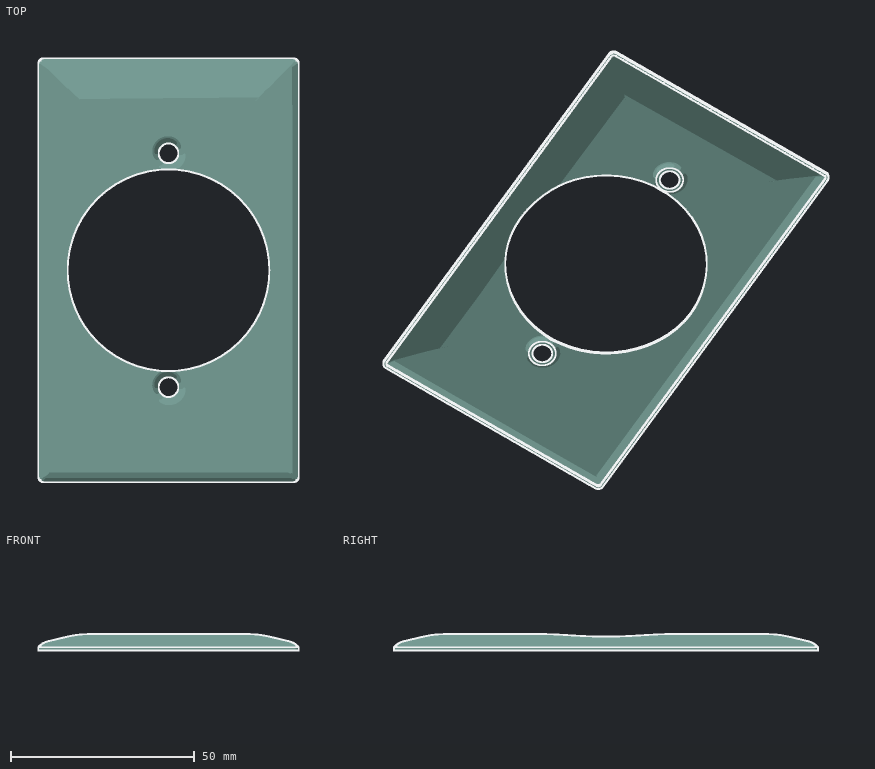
import cadquery as cq
import math

width = 70.87
length = 115.32
height = 4.51
thickness = 0.8
rim_height = 0.9
corner_radius = 1.5

edge_band = 2.7
crown_start = 8.0
border_width = 14.0
slope_angle = math.radians(13.25)

opening_diameter = 54.8
screw_spacing = 63.6
screw_diameter = 5.3
dimple_diameter = 10.2
dimple_lip_radius = 1.8
dimple_wall_angle = math.radians(52)

full_turn = 360
match_tolerance = 1e-4


def border_point(radius, centre, angle):
    """Point on an arc whose tangent there has the given slope angle."""
    return (centre[0] - radius * math.sin(angle), centre[1] + radius * math.cos(angle))


def crowned_prism(plane, span, depth, skin):
    """Prism with the crowned section, its surface set inward by the skin thickness."""
    half = span / 2
    crown_radius = (border_width - crown_start) / math.sin(slope_angle)
    crown_centre = (border_width, height - crown_radius)
    crown_drop = crown_radius * (1 - math.cos(slope_angle))
    slope_drop = (crown_start - edge_band) * math.tan(slope_angle)
    slope_foot_z = height - crown_drop - slope_drop

    rise = slope_foot_z - rim_height
    chord_angle = math.atan2(rise, edge_band)
    edge_turn = 2 * (chord_angle - slope_angle)
    edge_radius = math.hypot(rise, edge_band) / (2 * math.sin(edge_turn / 2))
    edge_centre = (
        edge_band + edge_radius * math.sin(slope_angle),
        slope_foot_z - edge_radius * math.cos(slope_angle),
    )

    inner_edge_radius = edge_radius - skin
    inner_crown_radius = crown_radius - skin
    rim_angle = math.asin((edge_centre[0] - skin) / inner_edge_radius)
    edge_middle_angle = (rim_angle + slope_angle) / 2

    side = [
        border_point(inner_edge_radius, edge_centre, rim_angle),
        border_point(inner_edge_radius, edge_centre, edge_middle_angle),
        border_point(inner_edge_radius, edge_centre, slope_angle),
        border_point(inner_crown_radius, crown_centre, slope_angle),
        border_point(inner_crown_radius, crown_centre, slope_angle / 2),
        border_point(inner_crown_radius, crown_centre, 0),
    ]
    left = [(inset - half, z) for inset, z in side]
    right = [(half - inset, z) for inset, z in reversed(side)]
    return (
        cq.Workplane(plane)
        .moveTo(skin - half, 0)
        .lineTo(*left[0])
        .threePointArc(left[1], left[2])
        .lineTo(*left[3])
        .threePointArc(left[4], left[5])
        .lineTo(*right[0])
        .threePointArc(right[1], right[2])
        .lineTo(*right[3])
        .threePointArc(right[4], right[5])
        .lineTo(half - skin, 0)
        .close()
        .extrude(depth / 2, both=True)
    )


def is_mitre(edge):
    """True for an edge that stays equally inset from the two sides of a corner."""
    for point in (edge.positionAt(0), edge.positionAt(0.5), edge.positionAt(1)):
        inset_x = width / 2 - abs(point.x)
        inset_y = length / 2 - abs(point.y)
        if abs(inset_x - inset_y) > match_tolerance:
            return False
    return True


def crowned_block(skin):
    """Crowned block with four sloping sides that meet in rounded mitres."""
    across = crowned_prism("XZ", width, length, skin)
    along = crowned_prism("YZ", length, width, skin)
    block = across.intersect(along)
    mitres = [edge for edge in block.edges().vals() if is_mitre(edge)]
    return block.newObject(mitres).fillet(corner_radius - skin)


def dimple(y):
    """Formed countersink: the funnel-shaped skin and the void above it, as two solids."""
    lip_radius = dimple_diameter / 2
    inner_radius = screw_diameter / 2
    lip_centre = (lip_radius, height - dimple_lip_radius)
    middle_angle = dimple_wall_angle / 2

    top_foot = border_point(dimple_lip_radius, lip_centre, dimple_wall_angle)
    depth_below = (top_foot[0] - inner_radius) * math.tan(dimple_wall_angle)
    bottom_z = top_foot[1] - depth_below

    under_radius = dimple_lip_radius - thickness
    under_foot = border_point(under_radius, lip_centre, dimple_wall_angle)
    under_run = (under_foot[1] - bottom_z) / math.tan(dimple_wall_angle)

    void = (
        cq.Workplane("XZ")
        .moveTo(0, height)
        .lineTo(lip_radius, height)
        .threePointArc(border_point(dimple_lip_radius, lip_centre, middle_angle), top_foot)
        .lineTo(inner_radius, bottom_z)
        .lineTo(0, bottom_z)
        .close()
        .revolve(full_turn, (0, 0), (0, 1))
    )
    funnel = (
        cq.Workplane("XZ")
        .moveTo(0, height)
        .lineTo(lip_radius, height)
        .lineTo(lip_radius, height - thickness)
        .threePointArc(border_point(under_radius, lip_centre, middle_angle), under_foot)
        .lineTo(under_foot[0] - under_run, bottom_z)
        .lineTo(0, bottom_z)
        .close()
        .revolve(full_turn, (0, 0), (0, 1))
    )
    return funnel.translate((0, y, 0)), void.translate((0, y, 0))


def receptacle_opening():
    """Round cutter through the full height of the plate."""
    return cq.Workplane("XY").circle(opening_diameter / 2).extrude(height)


plate = crowned_block(0).cut(crowned_block(thickness))
for side in (-1, 1):
    funnel, void = dimple(side * screw_spacing / 2)
    plate = plate.union(funnel).cut(void)

result = plate.cut(receptacle_opening())